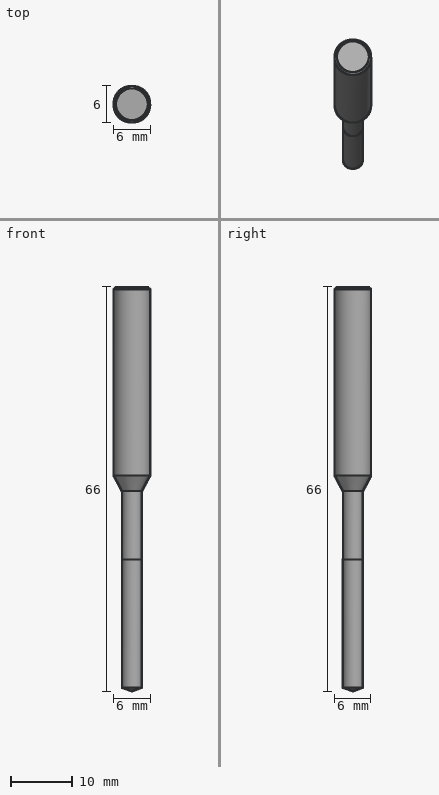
import cadquery as cq
import math

total_length = 66.0
shank_diameter = 6.0
shank_chamfer = 0.4
drill_diameter = 3.3
point_angle = 140.0

shank_bottom = 35.25
neck_top = 32.7
joint_height = 21.5

shank_radius = shank_diameter / 2
drill_radius = drill_diameter / 2
point_height = drill_radius / math.tan(math.radians(point_angle / 2))


def revolve_profile(plane, points):
    """Turn a closed (radius, height) outline about the Z axis."""
    return cq.Workplane(plane).polyline(points).close().revolve(360, (0, 0), (0, 1))


shank = revolve_profile("YZ", [
    (0, joint_height),
    (drill_radius, joint_height),
    (drill_radius, neck_top),
    (shank_radius, shank_bottom),
    (shank_radius, total_length - shank_chamfer),
    (shank_radius - shank_chamfer, total_length),
    (0, total_length),
])

cutting_head = revolve_profile("XZ", [
    (0, 0),
    (drill_radius, point_height),
    (drill_radius, joint_height),
    (0, joint_height),
])

result = cq.Compound.makeCompound([shank.val(), cutting_head.val()])